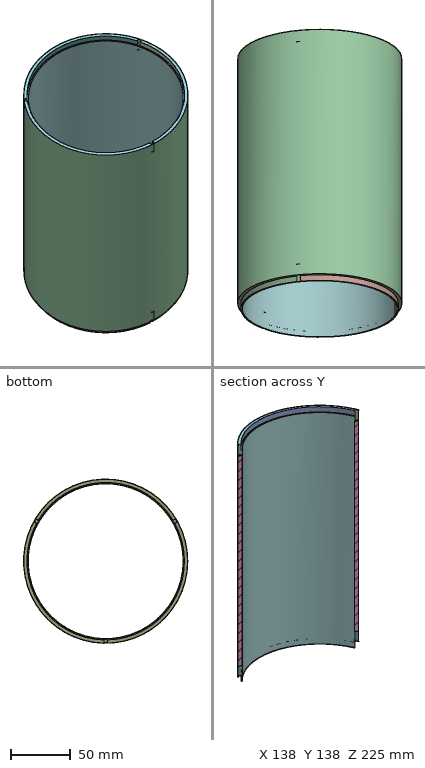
import cadquery as cq

total_height = 225
outer_diameter = 138.0
bore_diameter = 130.0
joint_diameter = 132.3
joint_length = 5.0

pin_angles = (90, 210, 330)
pin_diameter = 3.2
pin_circle_radius = (outer_diameter + bore_diameter) / 4
top_pin_depth = 10.0
bottom_pin_depth = joint_length + top_pin_depth


def cylinder(diameter, height, base_z):
    """Upright cylinder on the tube axis."""
    return cq.Workplane("XY").workplane(offset=base_z).circle(diameter / 2).extrude(height)


def pin_hole(angle, depth, base_z):
    """Axial pin hole, open along its side where it crosses the joint wall."""
    hole = cylinder(pin_diameter, depth, base_z).translate((pin_circle_radius, 0, 0))
    return hole.rotate((0, 0, 0), (0, 0, 1), angle)


sleeve = cylinder(outer_diameter, total_height - joint_length, joint_length)
spigot = cylinder(joint_diameter, joint_length, 0)
bore = cylinder(bore_diameter, total_height, 0)
socket = cylinder(joint_diameter, joint_length, total_height - joint_length)
result = sleeve.union(spigot).cut(bore).cut(socket)

for pin_angle in pin_angles:
    result = result.cut(pin_hole(pin_angle, bottom_pin_depth, 0))
    result = result.cut(pin_hole(pin_angle, top_pin_depth, total_height - top_pin_depth))